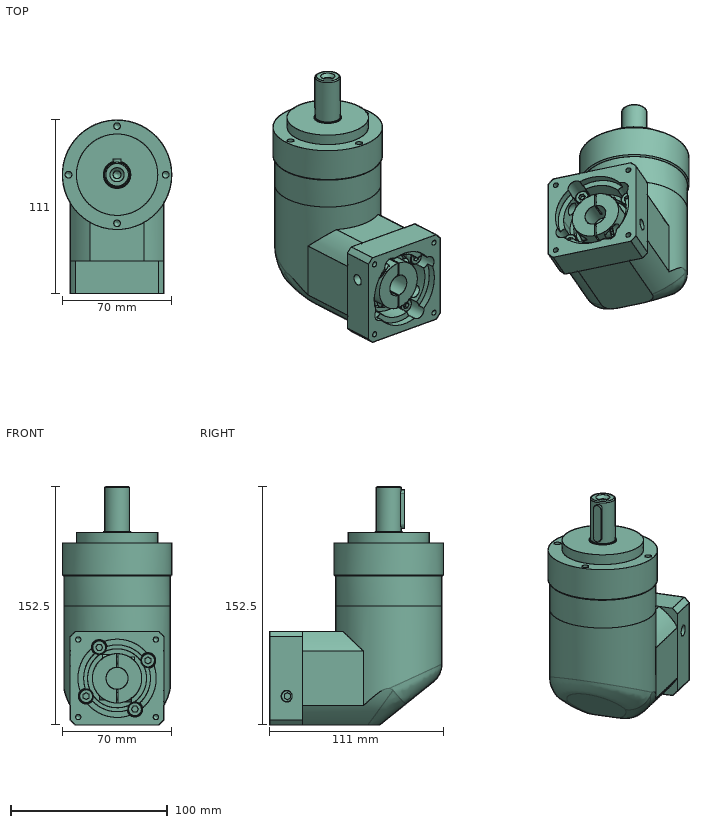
import cadquery as cq
import math


overall_height = 152.5
overall_depth = 111.0
motor_square = 60.0

flange_diameter = 70.0
flange_thickness = 20.5
flange_chamfer = 0.9
pilot_diameter = 52.0
pilot_height = 6.7
ring_length = 19.0
flange_hole_diameter = 4.3
flange_hole_circle = 62.0
flange_hole_count = 4
flange_hole_depth = 10.0
drill_point_angle = 118.0

shaft_diameter = 16.0
shaft_length = 36.0
shaft_chamfer = 0.8
collar_diameter = 17.5
collar_height = 0.6
collar_chamfer = 0.5
centre_bore_diameter = 5.0
centre_bore_depth = 12.5
countersink_diameter = 9.0
countersink_angle = 90.0
key_width = 5.0
key_length = 25.0
key_height = 10.0
key_end_gap = 2.0

barrel_diameter = 68.0
neck_diameter = 69.2
slope_angle = 38.8
slope_foot = 6.0
slope_fillet = 14.5

plate_thickness = 21.0
plate_corner_diameter = 80.0
motor_hole_diameter = 3.4
motor_hole_spacing = 49.5
motor_hole_depth = 10.0
motor_pilot_diameter = 50.0
motor_pilot_depth = 5.0
coupling_bore_diameter = 42.7
coupling_bore_depth = 16.6
rear_opening_diameter = 37.7
screw_circle_diameter = 45.6
screw_angles = (30, 120, 210, 300)
counterbore_diameter = 9.9
screw_head_diameter = 9.2
screw_head_height = 5.0
screw_head_chamfer = 0.5
screw_socket = 3.8
screw_socket_depth = 2.5
access_hole_diameter = 7.0
access_hole_setback = 10.8

hub_diameter = 31.5
hub_setback = 6.0
hub_bore_diameter = 14.0
hub_slit = 0.9
hub_slit_depth = 11.0
clamp_screw_height = 11.5
clamp_screw_setback = 11.3
clamp_head_diameter = 7.5
clamp_head_height = 4.0
clamp_head_end = 9.2
clamp_shank_diameter = 4.5
clamp_shank_end = 11.3
clamp_pocket_diameter = 8.0
clamp_socket = 4.0
clamp_socket_depth = 2.0

bottom_z = -motor_square / 2
top_z = bottom_z + overall_height
flange_top_z = top_z - shaft_length
pilot_top_z = flange_top_z + pilot_height
flange_bottom_z = flange_top_z - flange_thickness
ring_bottom_z = flange_bottom_z - flange_chamfer - ring_length
front_y = flange_diameter / 2 - overall_depth
plate_back_y = front_y + plate_thickness
hub_front_y = front_y + hub_setback


def cylinder_z(diameter, z_from, z_to):
    return cq.Workplane("XY").workplane(offset=z_from).circle(diameter / 2).extrude(z_to - z_from)


def cylinder_y(diameter, y_from, y_to):
    plane = cq.Plane(origin=(0, y_from, 0), xDir=(-1, 0, 0), normal=(0, 1, 0))
    return cq.Workplane(plane).circle(diameter / 2).extrude(y_to - y_from)


def drill(diameter, depth, point, direction):
    """Drilled hole with a conical bottom, from the given point towards -Z or +Y."""
    point_depth = diameter / 2 / math.tan(math.radians(drill_point_angle / 2))
    profile = [(0, 0), (diameter / 2, 0), (diameter / 2, depth), (0, depth + point_depth)]
    tool = cq.Workplane("XZ").polyline(profile).close().revolve(360, (0, 0), (0, 1))
    turn = 180 if direction == "-Z" else -90
    tool = tool.rotate((0, 0, 0), (1, 0, 0), turn)
    return tool.translate(point)


def hex_prism(plane, across_flats, depth):
    return cq.Workplane(plane).polygon(6, across_flats / math.cos(math.pi / 6)).extrude(depth)


def around_motor_axis(shape, angle):
    """Move a shape from the motor axis to its place on the screw circle."""
    return shape.translate((screw_circle_diameter / 2, 0, 0)).rotate((0, 0, 0), (0, 1, 0), -angle)


def make_shaft():
    shaft = cylinder_z(shaft_diameter, pilot_top_z, top_z).faces(">Z").chamfer(shaft_chamfer)
    collar = cylinder_z(collar_diameter, pilot_top_z, pilot_top_z + collar_height)
    collar = collar.faces(">Z").chamfer(collar_chamfer)
    key_middle_z = top_z - key_end_gap - key_length / 2
    key = (
        cq.Workplane("XZ", origin=(0, 0, key_middle_z))
        .slot2D(key_length, key_width, 90)
        .extrude(-key_height)
    )
    countersink_depth = (
        (countersink_diameter - centre_bore_diameter) / 2 / math.tan(math.radians(countersink_angle / 2))
    )
    countersink = cq.Workplane(
        cq.Solid.makeCone(
            countersink_diameter / 2, centre_bore_diameter / 2, countersink_depth,
            cq.Vector(0, 0, top_z), cq.Vector(0, 0, -1),
        )
    )
    bore = drill(centre_bore_diameter, centre_bore_depth, (0, 0, top_z), "-Z")
    return shaft.union(collar).union(key).cut(countersink).cut(bore)


def make_gear_head():
    ring = cylinder_z(barrel_diameter, ring_bottom_z, flange_bottom_z)
    flange = cylinder_z(flange_diameter, flange_bottom_z - flange_chamfer, flange_top_z)
    flange = flange.faces("<Z").chamfer(flange_chamfer)
    head = ring.union(flange).union(cylinder_z(pilot_diameter, flange_top_z, pilot_top_z))
    for i in range(flange_hole_count):
        hole = drill(flange_hole_diameter, flange_hole_depth, (flange_hole_circle / 2, 0, flange_top_z), "-Z")
        head = head.cut(hole.rotate((0, 0, 0), (0, 0, 1), i * 360 / flange_hole_count))
    return head


def make_housing():
    reach = overall_height
    upper = cylinder_z(barrel_diameter, 0, ring_bottom_z)
    neck_round = cylinder_y(neck_diameter, plate_back_y, barrel_diameter)
    lower = cylinder_z(barrel_diameter, -neck_diameter, 0).intersect(neck_round)
    barrel = upper.union(lower)
    slope_plane = cq.Plane(
        origin=(0, -slope_foot, bottom_z),
        xDir=(1, 0, 0),
        normal=(0, math.sin(math.radians(slope_angle)), -math.cos(math.radians(slope_angle))),
    )
    barrel = barrel.cut(cq.Workplane(slope_plane).rect(reach, 2 * reach).extrude(reach))
    slope_faces = barrel.faces(cq.selectors.DirectionMinMaxSelector(slope_plane.zDir, True))
    barrel = slope_faces.edges().fillet(slope_fillet)
    barrel = barrel.intersect(
        cq.Workplane("XY").workplane(offset=bottom_z).rect(reach, reach).extrude(reach)
    )
    neck_start_y = -math.sqrt(barrel_diameter**2 - motor_square**2) / 2
    neck_length = neck_start_y - plate_back_y
    neck = cq.Workplane("XZ", origin=(0, neck_start_y, 0)).rect(motor_square, motor_square)
    neck = neck.extrude(neck_length).intersect(neck_round)
    return barrel.union(neck)


def make_adapter_plate():
    plate = cq.Workplane("XZ", origin=(0, plate_back_y, 0)).rect(motor_square, motor_square)
    plate = plate.extrude(plate_thickness)
    plate = plate.intersect(cylinder_y(plate_corner_diameter, front_y, plate_back_y))
    floor_y = front_y + coupling_bore_depth
    plate = plate.cut(cylinder_y(motor_pilot_diameter, front_y, front_y + motor_pilot_depth))
    plate = plate.cut(cylinder_y(coupling_bore_diameter, front_y, floor_y))
    plate = plate.cut(cylinder_y(rear_opening_diameter, front_y, plate_back_y))

    for x in (-motor_hole_spacing / 2, motor_hole_spacing / 2):
        for z in (-motor_hole_spacing / 2, motor_hole_spacing / 2):
            plate = plate.cut(drill(motor_hole_diameter, motor_hole_depth, (x, front_y, z), "+Y"))

    access_y = front_y + access_hole_setback
    for side in (-1, 1):
        access = cq.Workplane("YZ", origin=(0, access_y, -side * clamp_screw_height))
        access = access.circle(access_hole_diameter / 2).extrude(side * motor_square)
        plate = plate.cut(access)

    head_front_y = floor_y - screw_head_height
    counterbore = cylinder_y(counterbore_diameter, front_y, floor_y)
    head = cylinder_y(screw_head_diameter, head_front_y, floor_y).faces("<Y").chamfer(screw_head_chamfer)
    socket_plane = cq.Plane(origin=(0, head_front_y, 0), xDir=(1, 0, 0), normal=(0, 1, 0))
    head = head.cut(hex_prism(socket_plane, screw_socket, screw_socket_depth))
    for angle in screw_angles:
        plate = plate.cut(around_motor_axis(counterbore, angle))
        plate = plate.union(around_motor_axis(head, angle))
    return plate


def make_clamp_hub():
    hub = cylinder_y(hub_diameter, hub_front_y, plate_back_y)
    hub = hub.cut(cylinder_y(hub_bore_diameter, hub_front_y, plate_back_y))
    slit = cq.Workplane("XZ", origin=(0, hub_front_y + hub_slit_depth, 0))
    hub = hub.cut(slit.rect(hub_slit, hub_diameter).extrude(hub_slit_depth))

    head_plane = cq.Plane(
        origin=(-clamp_head_end, front_y + clamp_screw_setback, clamp_screw_height),
        xDir=(0, 0, 1),
        normal=(1, 0, 0),
    )
    pocket = cq.Workplane(head_plane).workplane(offset=clamp_head_height)
    pocket = pocket.circle(clamp_pocket_diameter / 2).extrude(-hub_diameter)
    head = cq.Workplane(head_plane).circle(clamp_head_diameter / 2).extrude(clamp_head_height)
    shank = cq.Workplane(head_plane).circle(clamp_shank_diameter / 2)
    shank = shank.extrude(clamp_head_end + clamp_shank_end)
    socket = hex_prism(head_plane, clamp_socket, clamp_socket_depth)
    screw = head.union(shank).cut(socket)
    for turn in (0, 180):
        hub = hub.cut(pocket.rotate((0, 0, 0), (0, 1, 0), turn))
        hub = hub.union(screw.rotate((0, 0, 0), (0, 1, 0), turn))
    return hub


shaft = make_shaft()
gear_head = make_gear_head()
housing = make_housing()
adapter_plate = make_adapter_plate()
clamp_hub = make_clamp_hub()

result = cq.Compound.makeCompound(
    [shaft.val(), gear_head.val(), housing.val(), adapter_plate.val(), clamp_hub.val()]
)